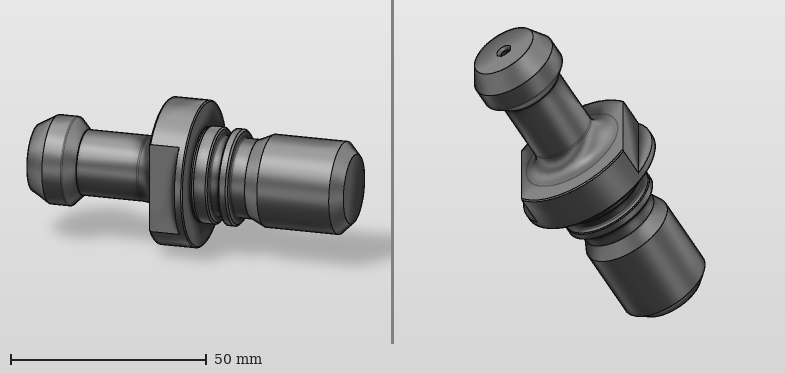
import cadquery as cq
import math

total_length = 85.0

head_radius = 23.0 / 2
head_face_radius = 8.7
head_nose_angle = 30.0
head_back_start = 10.1
head_back_angle = 45.0
head_edge_radius = 0.5

neck_radius = 17.0 / 2
neck_relief_radius = 16.9 / 2
neck_relief_start = 13.3
neck_relief_end = 29.3
flare_radius = 5.0

flange_radius = 38.0 / 2
flange_start = 34.85
flange_end = 44.9
flange_chamfer = 0.3
flat_distance = 15.0
flat_end = 42.8

undercut_radius = 24.6 / 2
undercut_end = 45.3
taper_end = 45.9
collar_radius = 25.0 / 2
collar_end = 49.5
collar_chamfer = 0.4

groove_radius = 20.8 / 2
groove_end = 52.45
ring_end = 54.9
ring_chamfer = 0.5
ring_front_chamfer = 0.25
corner_fillet = 0.3

relief_radius = 20.5 / 2
relief_end = 58.9
shank_radius = 24.0 / 2
shank_start = 62.7
end_chamfer = 3.0

hole_radius = 2.5 / 2
countersink_radius = 2.0
hole_depth = 3.4
drill_point_angle = 118.0


def inner_corner(profile, wall_x, floor_radius, side):
    """Finish a wall or floor with a concave fillet; side +1 enters the floor, -1 leaves it."""
    offset = corner_fillet * (1 - math.sqrt(0.5))
    wall = (wall_x, floor_radius + corner_fillet)
    middle = (wall_x + side * offset, floor_radius + offset)
    floor = (wall_x + side * corner_fillet, floor_radius)
    first, last = (wall, floor) if side > 0 else (floor, wall)
    return profile.lineTo(*first).threePointArc(middle, last)


def turned_body():
    nose_length = (head_radius - head_face_radius) / math.tan(math.radians(head_nose_angle))
    back_angle = math.radians(head_back_angle)
    head_back_end = head_back_start + (head_radius - neck_radius) / math.tan(back_angle)
    edge_start = head_back_start - head_edge_radius * math.tan(back_angle / 2)

    def head_edge_point(angle):
        return (
            edge_start + head_edge_radius * math.sin(angle),
            head_radius - head_edge_radius * (1 - math.cos(angle)),
        )

    flare_start = flange_start - flare_radius
    flare_middle = (
        flare_start + flare_radius * math.sqrt(0.5),
        neck_radius + flare_radius * (1 - math.sqrt(0.5)),
    )

    profile = (
        cq.Workplane("XY")
        .moveTo(0, 0)
        .lineTo(0, head_face_radius)
        .lineTo(nose_length, head_radius)
        .lineTo(edge_start, head_radius)
        .threePointArc(head_edge_point(back_angle / 2), head_edge_point(back_angle))
        .lineTo(head_back_end, neck_radius)
        .lineTo(neck_relief_start, neck_relief_radius)
        .lineTo(neck_relief_end, neck_relief_radius)
        .lineTo(flare_start, neck_radius)
        .threePointArc(flare_middle, (flange_start, neck_radius + flare_radius))
    )
    profile = (
        profile.lineTo(flange_start, flange_radius - flange_chamfer)
        .lineTo(flange_start + flange_chamfer, flange_radius)
        .lineTo(flange_end - flange_chamfer, flange_radius)
        .lineTo(flange_end, flange_radius - flange_chamfer)
        .lineTo(flange_end, undercut_radius)
        .lineTo(undercut_end, undercut_radius)
        .lineTo(taper_end, collar_radius)
        .lineTo(collar_end - collar_chamfer, collar_radius)
        .lineTo(collar_end, collar_radius - collar_chamfer)
    )
    profile = inner_corner(profile, collar_end, groove_radius, 1)
    profile = inner_corner(profile, groove_end, groove_radius, -1)
    profile = (
        profile.lineTo(groove_end, collar_radius - ring_front_chamfer)
        .lineTo(groove_end + ring_front_chamfer, collar_radius)
        .lineTo(ring_end - ring_chamfer, collar_radius)
        .lineTo(ring_end, collar_radius - ring_chamfer)
    )
    profile = inner_corner(profile, ring_end, relief_radius, 1)
    profile = (
        profile.lineTo(relief_end, relief_radius)
        .lineTo(shank_start, shank_radius)
        .lineTo(total_length - end_chamfer, shank_radius)
        .lineTo(total_length, shank_radius - end_chamfer)
        .lineTo(total_length, 0)
        .close()
    )
    return profile.revolve(360, (0, 0, 0), (1, 0, 0))


def wrench_flat(side):
    """Material removed from the flange on the given Y side."""
    length = flat_end - flange_start
    depth = flange_radius - flat_distance
    return cq.Workplane("XY").box(length, depth, 2 * flange_radius).translate(
        (flange_start + length / 2, side * (flat_distance + depth / 2), 0)
    )


def centre_hole():
    """Countersunk blind hole with a conical bottom."""
    countersink_depth = countersink_radius - hole_radius
    point_length = hole_radius / math.tan(math.radians(drill_point_angle / 2))
    return (
        cq.Workplane("XY")
        .moveTo(0, 0)
        .lineTo(0, countersink_radius)
        .lineTo(countersink_depth, hole_radius)
        .lineTo(hole_depth, hole_radius)
        .lineTo(hole_depth + point_length, 0)
        .close()
        .revolve(360, (0, 0, 0), (1, 0, 0))
    )


result = turned_body().cut(centre_hole())
for flat_side in (-1, 1):
    result = result.cut(wrench_flat(flat_side))